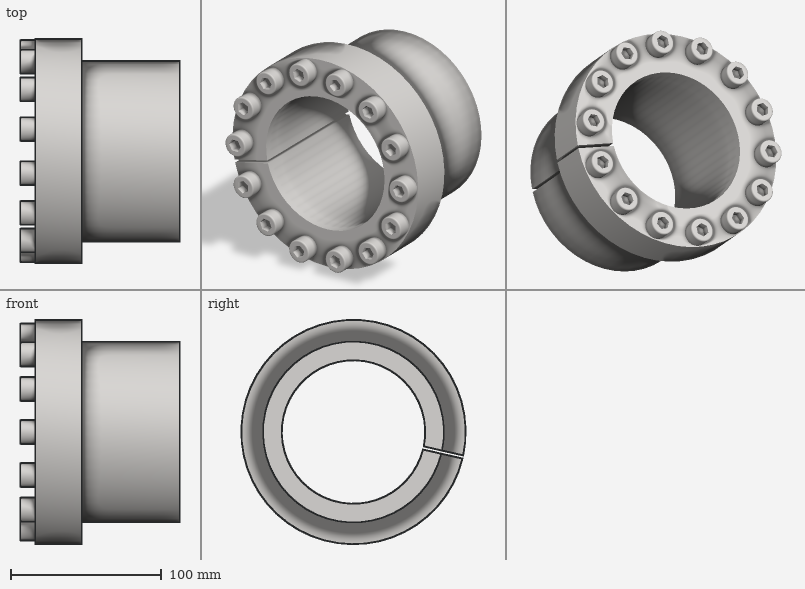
import cadquery as cq
import math

bore_diameter = 95.0
sleeve_diameter = 120.0
flange_diameter = 149.0
flange_thickness = 31.0
sleeve_length = 65.0

slit_width = 2.0

screw_count = 14
bolt_circle_diameter = 131.5
head_diameter = 16.0
head_height = 10.0
head_edge_radius = 1.0
socket_across_flats = 8.0
socket_depth = 6.0

screw_pitch_angle = 360.0 / screw_count
slit_angle = -screw_pitch_angle / 2
body_length = flange_thickness + sleeve_length


def cylinder_along_x(diameter, length):
    """Cylinder on the X axis that starts at X = 0 and runs towards +X."""
    return cq.Workplane("YZ").circle(diameter / 2).extrude(length)


def make_body():
    """Flange and sleeve with a common bore; the outer flange face is at X = 0."""
    flange = cylinder_along_x(flange_diameter, flange_thickness)
    sleeve = cylinder_along_x(sleeve_diameter, body_length)
    bore = cylinder_along_x(bore_diameter, body_length)
    return flange.union(sleeve).cut(bore)


def make_slit():
    """Radial slot from the axis out past the flange rim."""
    slot = cq.Workplane("XY").box(
        body_length, flange_diameter, slit_width, centered=(False, False, True)
    )
    return slot.rotate((0, 0, 0), (1, 0, 0), slit_angle)


def make_screw_head():
    """Screw head on the +Y side, with one socket corner pointing radially outwards."""
    socket_across_corners = socket_across_flats / math.cos(math.pi / 6)
    head = (
        cylinder_along_x(head_diameter, head_height)
        .faces("<X")
        .edges()
        .fillet(head_edge_radius)
    )
    socket = cq.Workplane("YZ").polygon(6, socket_across_corners).extrude(socket_depth)
    return head.cut(socket).translate((-head_height, bolt_circle_diameter / 2, 0))


result = make_body().cut(make_slit())
screw_head = make_screw_head()
for index in range(screw_count):
    result = result.union(screw_head.rotate((0, 0, 0), (1, 0, 0), index * screw_pitch_angle))